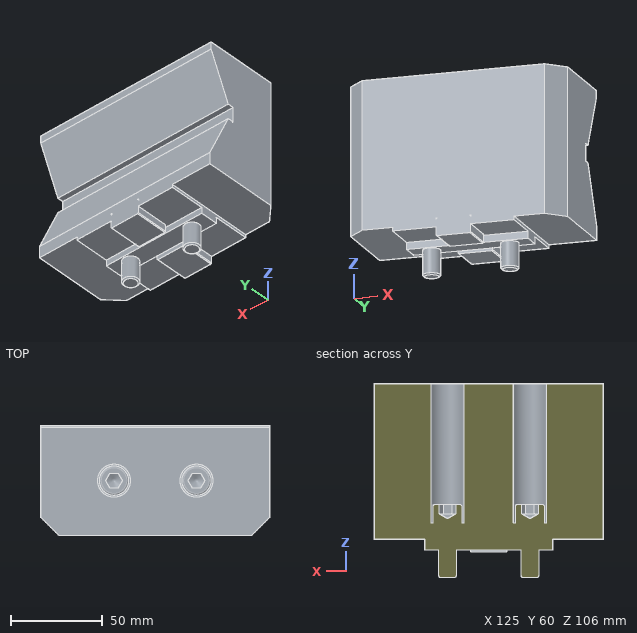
import cadquery as cq
import math

WIDTH = 125.0
DEPTH = 60.0
BLOCK_HEIGHT = 85.0
TOTAL_HEIGHT = 106.0
CORNER_CHAMFER = 10.0

UPPER_JAW_SETBACK = 1.0
V_ROOT_Y = 45.0
V_SLOPE_ANGLE = 25.0
GROOVE_FLOOR_Y = 41.0
GROOVE_WIDTH = 10.0
GROOVE_CENTRE_Z = -40.0

PAD_WIDTH = 70.0
PAD_HEIGHT = 2.0
RIB_DEPTH = 12.0
RIB_HEIGHT = 4.0

KEY_WIDTH = 20.0
KEY_HEIGHT = 10.0
KEY_LENGTH = 22.25
KEY_CHAMFER = 0.5
KEY_DROP = 5.0

SCREW_SPACING = 45.0
SHANK_DIAMETER = 10.0
SHANK_LENGTH = 30.0
SHANK_CHAMFER = 0.9
HEAD_DIAMETER = 16.0
HEAD_HEIGHT = 10.0
HEAD_FILLET = 1.0
SOCKET_ACROSS_FLATS = 8.0
SOCKET_DEPTH = 5.0
SOCKET_TIP_ANGLE = 120.0
BORE_DIAMETER = 18.0

MID_Y = DEPTH / 2
PAD_BOTTOM_Z = -BLOCK_HEIGHT - PAD_HEIGHT
KEY_BOTTOM_Z = PAD_BOTTOM_Z - KEY_DROP
SCREW_SEAT_Z = -TOTAL_HEIGHT + SHANK_LENGTH


def centred_box(width, depth, height, start_y, bottom_z):
    """Box centred on X that starts at start_y and stands on bottom_z."""
    box = cq.Workplane("XY").box(width, depth, height, centered=(True, False, False))
    return box.translate((0, start_y, bottom_z))


def make_block():
    """V-jaw profile extruded along X, with chamfered front corners."""
    slope = math.tan(math.radians(V_SLOPE_ANGLE))
    groove_top = GROOVE_CENTRE_Z + GROOVE_WIDTH / 2
    groove_bottom = GROOVE_CENTRE_Z - GROOVE_WIDTH / 2
    upper_jaw_y = DEPTH - UPPER_JAW_SETBACK
    profile = [
        (0, 0),
        (upper_jaw_y, 0),
        (upper_jaw_y, groove_top + (upper_jaw_y - V_ROOT_Y) / slope),
        (V_ROOT_Y, groove_top),
        (GROOVE_FLOOR_Y, groove_top),
        (GROOVE_FLOOR_Y, groove_bottom),
        (V_ROOT_Y, groove_bottom),
        (DEPTH, groove_bottom - (DEPTH - V_ROOT_Y) / slope),
        (DEPTH, -BLOCK_HEIGHT),
        (0, -BLOCK_HEIGHT),
    ]
    block = cq.Workplane("YZ").polyline(profile).close().extrude(WIDTH / 2, both=True)
    return block.faces("<Y").edges("|Z").chamfer(CORNER_CHAMFER)


def make_base():
    """Full-depth pad and the rib that crosses it along X."""
    pad = centred_box(PAD_WIDTH, DEPTH, PAD_HEIGHT, 0, PAD_BOTTOM_Z)
    rib_start_y = MID_Y - RIB_DEPTH / 2
    rib = centred_box(PAD_WIDTH, RIB_DEPTH, RIB_HEIGHT, rib_start_y, PAD_BOTTOM_Z - RIB_HEIGHT)
    return pad.union(rib)


def fit_key(body, start_y):
    """Cut a square-cornered slot and fill it with a key whose long edges are chamfered."""
    key = centred_box(KEY_WIDTH, KEY_LENGTH, KEY_HEIGHT, start_y, KEY_BOTTOM_Z)
    return body.cut(key).union(key.edges("|Y").chamfer(KEY_CHAMFER))


def make_screw():
    """Cap screw with its head seated on Z = 0 and its shank pointing down."""
    shank = cq.Workplane("XY").circle(SHANK_DIAMETER / 2).extrude(-SHANK_LENGTH)
    shank = shank.faces("<Z").chamfer(SHANK_CHAMFER)
    head = cq.Workplane("XY").circle(HEAD_DIAMETER / 2).extrude(HEAD_HEIGHT)
    head = head.faces(">Z").edges().fillet(HEAD_FILLET)

    corner_radius = SOCKET_ACROSS_FLATS / 2 / math.cos(math.pi / 6)
    tip_depth = corner_radius / math.tan(math.radians(SOCKET_TIP_ANGLE / 2))
    hexagon = cq.Workplane("XY").polygon(6, 2 * corner_radius).extrude(SOCKET_DEPTH + tip_depth)
    cone_profile = cq.Workplane("XZ").polyline([
        (0, 0),
        (corner_radius, tip_depth),
        (corner_radius, SOCKET_DEPTH + tip_depth),
        (0, SOCKET_DEPTH + tip_depth),
    ])
    pointed_blank = cone_profile.close().revolve(360, (0, 0, 0), (0, 1, 0))
    socket = hexagon.intersect(pointed_blank)
    socket = socket.translate((0, 0, HEAD_HEIGHT - SOCKET_DEPTH - tip_depth))
    return shank.union(head).cut(socket)


def fit_screw(body, x):
    """Bore down to the head seat and set a screw in it."""
    bore = cq.Workplane("XY").circle(BORE_DIAMETER / 2).extrude(SCREW_SEAT_Z)
    screw = make_screw().translate((x, MID_Y, SCREW_SEAT_Z))
    return body.cut(bore.translate((x, MID_Y, 0))).union(screw)


result = make_block().union(make_base())
for key_start_y in (0, DEPTH - KEY_LENGTH):
    result = fit_key(result, key_start_y)
for screw_x in (-SCREW_SPACING / 2, SCREW_SPACING / 2):
    result = fit_screw(result, screw_x)